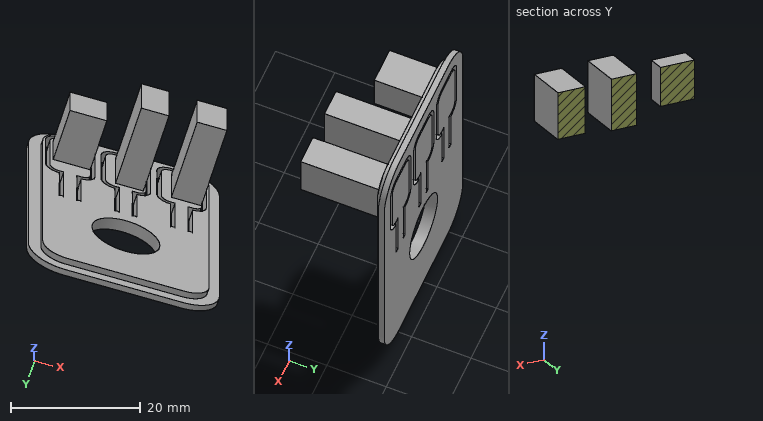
import cadquery as cq

PLATE_WIDTH = 31.0
PLATE_HEIGHT = 48
PLATE_RADIUS = 6.0
LAYER_THICKNESS = 1.0
FLANGE_MARGIN = 2.0
PLATE_DEPTH = 2 * LAYER_THICKNESS
PLATE_TOP = PLATE_HEIGHT / 2

HOLE_DIAMETER = 11.0
HOLE_Z = -7.95

KEY_PITCH = 9.0
SLOT_WIDTH = 0.7
SLOT_TOP = PLATE_TOP - 3.05
SLOT_BOTTOM = PLATE_TOP - 23.9
PAD_WIDTH = 6.6
PAD_HEIGHT = 11.4
PAD_RADIUS = 1.5
STEM_WIDTH = 2.1
PAD_Z = SLOT_TOP - SLOT_WIDTH - PAD_HEIGHT / 2

FRONT_Y = -15.5
LONG_PLUNGER = -FRONT_Y - PLATE_DEPTH
SHORT_PLUNGER = 8.8
PLUNGERS = [
    (-1, 0.25, 5.0, 6.0, 6.7, SHORT_PLUNGER),
    (0, 0.6, 5.15, 4.5, 8.9, LONG_PLUNGER),
    (1, 0.75, 5.4, 4.85, 8.0, LONG_PLUNGER),
]


def block(width, height, depth, x=0, z=0, back_y=0):
    """Block centred on X and Z, running from back_y toward -Y."""
    return cq.Workplane("XY").box(width, depth, height).translate((x, back_y - depth / 2, z))


def plate_layer(margin, back_y):
    """One rounded layer of the plate, set in from the outer edge by a margin."""
    layer = block(PLATE_WIDTH - 2 * margin, PLATE_HEIGHT - 2 * margin, LAYER_THICKNESS, back_y=back_y)
    return layer.edges("|Y").fillet(PLATE_RADIUS - margin)


def key_shape(x, margin):
    """Pad and stem through the whole plate, with a margin around the pad and beside the stem."""
    pad = block(PAD_WIDTH + 2 * margin, PAD_HEIGHT + 2 * margin, PLATE_DEPTH, x, PAD_Z)
    pad = pad.edges("|Y").fillet(PAD_RADIUS + margin)
    stem_height = PAD_Z - SLOT_BOTTOM
    stem_z = SLOT_BOTTOM + stem_height / 2
    stem = block(STEM_WIDTH + 2 * margin, stem_height, PLATE_DEPTH, x, stem_z)
    return pad.union(stem)


def key_slot(x):
    """Slot around one key, leaving the foot of the stem attached."""
    return key_shape(x, SLOT_WIDTH).cut(key_shape(x, 0))


flange = plate_layer(0, back_y=0)
panel = plate_layer(FLANGE_MARGIN, back_y=-LAYER_THICKNESS)
hole = cq.Workplane("XZ").center(0, HOLE_Z).circle(HOLE_DIAMETER / 2).extrude(PLATE_DEPTH)

result = flange.union(panel).cut(hole)
for key, offset, drop, width, height, length in PLUNGERS:
    key_x = key * KEY_PITCH
    plunger_z = PLATE_TOP - drop - height / 2
    plunger = block(width, height, length, key_x + offset, plunger_z, -PLATE_DEPTH)
    result = result.cut(key_slot(key_x)).union(plunger)